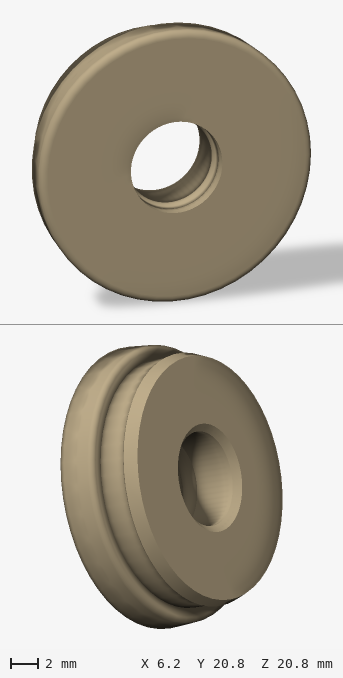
import cadquery as cq

total_length = 6.2

neck_radius = 9.17
barb_tip_radius = 9.0
barb_peak_radius = 9.35
barb_peak_x = 1.0
barb_back_x = barb_peak_x + barb_peak_radius - neck_radius

flange_back_x = 3.2
flange_back_radius = 10.23
flange_front_radius = 10.45
back_rim_fillet = 0.42
front_rim_fillet = 0.55

bore_radius = 3.5
bore_chamfer = 0.5

ring_inner_radius = 3.25
ring_section_radius = 0.75
ring_center_x = 4.45
ring_center_radius = ring_inner_radius + ring_section_radius
groove_outer_radius = ring_center_radius + ring_section_radius
groove_start_x = ring_center_x - ring_section_radius
groove_end_x = ring_center_x + ring_section_radius

AXIS_START = (0, 0, 0)
AXIS_END = (1, 0, 0)


def turn(outline):
    """Revolve a closed (x, radius) outline about the X axis."""
    return outline.revolve(360, AXIS_START, AXIS_END)


def make_flange():
    """Solid tapered disc with rounded rims."""
    flange = turn(
        cq.Workplane("XY")
        .polyline([
            (flange_back_x, 0),
            (flange_back_x, flange_back_radius),
            (total_length, flange_front_radius),
            (total_length, 0),
        ])
        .close()
    )
    flange = flange.faces("<X").edges().fillet(back_rim_fillet)
    return flange.faces(">X").edges().fillet(front_rim_fillet)


def make_barbed_neck():
    """Solid neck with a snap barb around its free end."""
    return turn(
        cq.Workplane("XY")
        .polyline([
            (0, 0),
            (0, barb_tip_radius),
            (barb_peak_x, barb_peak_radius),
            (barb_back_x, neck_radius),
            (flange_back_x, neck_radius),
            (flange_back_x, 0),
        ])
        .close()
    )


def make_bore():
    """Through bore with a chamfered mouth and the O-ring groove."""
    return turn(
        cq.Workplane("XY")
        .polyline([
            (0, 0),
            (0, bore_radius + bore_chamfer),
            (bore_chamfer, bore_radius),
            (groove_start_x, bore_radius),
            (groove_start_x, groove_outer_radius),
            (groove_end_x, groove_outer_radius),
            (groove_end_x, bore_radius),
            (total_length, bore_radius),
            (total_length, 0),
        ])
        .close()
    )


def make_housing():
    """Flanged plug, bored through."""
    return make_flange().union(make_barbed_neck()).cut(make_bore())


def make_o_ring():
    """Round-section ring seated in the bore groove."""
    return turn(
        cq.Workplane("XY")
        .moveTo(ring_center_x, ring_center_radius)
        .circle(ring_section_radius)
    )


housing = make_housing()
o_ring = make_o_ring()

result = cq.Compound.makeCompound([housing.val(), o_ring.val()])